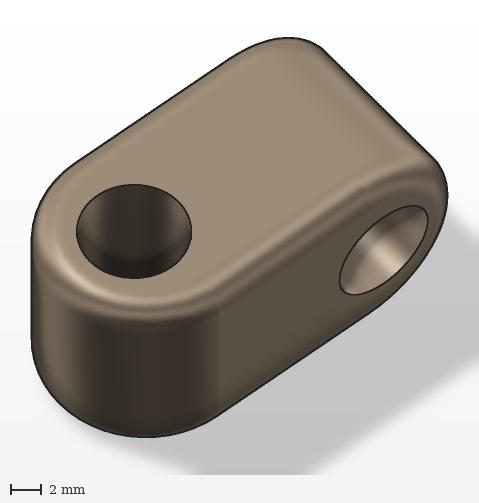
import cadquery as cq

length = 28.0
width = 15.0
edge_radius = 2.0
hole_diameter = 7.5
hole_end_distance = 6.5

end_radius = width / 2
half_length = length / 2
front_arc_y = -half_length + end_radius
back_arc_y = half_length - end_radius
front_hole_y = -half_length + hole_end_distance
back_hole_y = half_length - hole_end_distance


def make_body():
    """Link body: -Y end rounded about Z, +Y end rounded about X."""
    plan_profile = (
        cq.Workplane("XY")
        .moveTo(-end_radius, half_length)
        .lineTo(-end_radius, front_arc_y)
        .threePointArc((0, -half_length), (end_radius, front_arc_y))
        .lineTo(end_radius, half_length)
        .close()
        .extrude(width / 2, both=True)
    )
    side_profile = (
        cq.Workplane("YZ")
        .moveTo(-half_length, end_radius)
        .lineTo(back_arc_y, end_radius)
        .threePointArc((half_length, 0), (back_arc_y, -end_radius))
        .lineTo(-half_length, -end_radius)
        .close()
        .extrude(width / 2, both=True)
    )
    return plan_profile.intersect(side_profile)


def round_outer_edges(body):
    """Round the long edges and the end arcs, leaving the tangent seams alone."""
    return body.edges("|Y or %CIRCLE").fillet(edge_radius)


def make_hole_cutter(plane, center):
    """Cylinder crossing the full width, normal to the given plane."""
    return (
        cq.Workplane(plane)
        .center(*center)
        .circle(hole_diameter / 2)
        .extrude(width, both=True)
    )


body = round_outer_edges(make_body())
vertical_hole = make_hole_cutter("XY", (0, front_hole_y))
cross_hole = make_hole_cutter("YZ", (back_hole_y, 0))
result = body.cut(vertical_hole).cut(cross_hole)